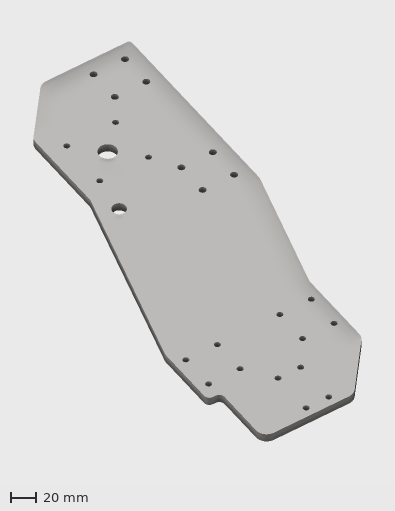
import cadquery as cq

length = 425.0
width = 172.0
thickness = 8.0

left_bottom = 46.8
left_chamfer_x = 48.0
left_chamfer_y = 86.5
lower_bend_left = 129.0
lower_bend_right = 304.7
notch_x = 365.0
notch_depth = 12.8
right_top = 140.5
right_chamfer_x = 375.5
right_chamfer_y = 100.0
upper_bend_right = 301.5
upper_bend_left = 184.0

large_radius = 10.0
notch_radius = 5.0
small_radius = 3.0

left_mount_diameter = 6.5
screw_diameter = 5.5
bore_diameter = 16.0
cable_diameter = 12.5
mount_pitch = 30.0
edge_offset = 15.0
left_mount_x = edge_offset + mount_pitch / 2
second_mount_x = 154.5
left_mount_y = width - edge_offset - mount_pitch / 2
right_mount_x = 335.0
right_mount_pitch_x = 32.5
right_mount_low_y = 25.5
right_mount_high_y = 115.5
end_mount_x = 396.5
end_mount_y = 70.5
end_pitch_x = 40.0
end_pitch_y = 21.5
bore_center = (92.2, 88.5)
bore_screw_pitch = 46.8
cable_center = (150.0, 60.5)


def plate():
    corners = [
        (0, width, small_radius),
        (0, left_chamfer_y, large_radius),
        (left_chamfer_x, left_bottom, large_radius),
        (lower_bend_left, left_bottom, large_radius),
        (lower_bend_right, 0, large_radius),
        (notch_x, 0, notch_radius),
        (notch_x, notch_depth, notch_radius),
        (length, notch_depth, large_radius),
        (length, right_chamfer_y, large_radius),
        (right_chamfer_x, right_top, large_radius),
        (upper_bend_right, right_top, large_radius),
        (upper_bend_left, width, large_radius),
    ]
    outline = [(x, y) for x, y, _ in corners]
    body = cq.Workplane("XY").polyline(outline).close().extrude(thickness)
    for x, y, radius in corners:
        edge = cq.selectors.NearestToPointSelector((x, y, thickness / 2))
        body = body.edges("|Z").edges(edge).fillet(radius)
    return body


def drill(body, centers, diameter):
    cutter = cq.Workplane("XY").pushPoints(centers).circle(diameter / 2).extrude(thickness)
    return body.cut(cutter)


def four_holes(center, pitch_x, pitch_y):
    """Corners of a rectangle around the center."""
    x, y = center
    return [(x + i * pitch_x / 2, y + j * pitch_y / 2) for i in (-1, 1) for j in (-1, 1)]


result = plate()

for mount_x in (left_mount_x, second_mount_x):
    holes = four_holes((mount_x, left_mount_y), mount_pitch, mount_pitch)
    result = drill(result, holes, left_mount_diameter)

for mount_y in (right_mount_low_y, right_mount_high_y):
    holes = four_holes((right_mount_x, mount_y), right_mount_pitch_x, mount_pitch)
    result = drill(result, holes, screw_diameter)

end_holes = four_holes((end_mount_x, end_mount_y), end_pitch_x, end_pitch_y)
result = drill(result, end_holes, screw_diameter)

bore_screws = four_holes(bore_center, bore_screw_pitch, bore_screw_pitch)
result = drill(result, bore_screws, screw_diameter)
result = drill(result, [bore_center], bore_diameter)
result = drill(result, [cable_center], cable_diameter)